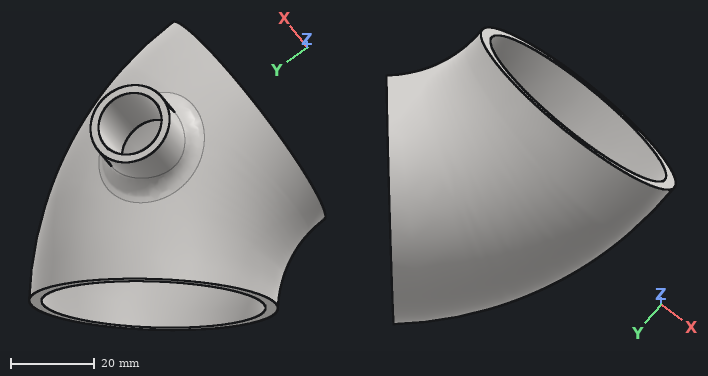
import cadquery as cq
import math

bend_radius = 60.0
bend_angle = 50.0
elbow_radius = 30.0
elbow_wall = 3.0

branch_radius = 10.0
branch_wall = 2.0
branch_reach = 44.5
branch_position = 22.0
branch_tilt = 20.6
blend_radius = 5.0


def bent_rod(radius):
    """Solid round bar following the elbow centreline."""
    return (
        cq.Workplane("XZ")
        .center(bend_radius, 0)
        .circle(radius)
        .revolve(bend_angle, (-bend_radius, 0), (-bend_radius, 1))
    )


def branch_rod(radius):
    """Solid round bar along the branch axis, out to the rim."""
    position = math.radians(branch_position)
    tilt = math.radians(branch_tilt)
    origin = cq.Vector(bend_radius * math.cos(position), bend_radius * math.sin(position), 0)
    direction = cq.Vector(
        math.sin(tilt) * math.cos(position),
        math.sin(tilt) * math.sin(position),
        math.cos(tilt),
    )
    return cq.Workplane(cq.Solid.makeCylinder(radius, branch_reach, origin, direction))


def junction_edge(body):
    """The closed edge where the branch meets the outside of the elbow."""
    def is_junction(edge):
        faces = [face for face in body.faces().vals() if any(e.isSame(edge) for e in face.Edges())]
        return sorted(face.geomType() for face in faces) == ["CYLINDER", "TORUS"]
    return body.newObject([edge for edge in body.edges().vals() if is_junction(edge)])


outside = bent_rod(elbow_radius).union(branch_rod(branch_radius))
outside = junction_edge(outside).fillet(blend_radius)

result = (
    outside
    .cut(bent_rod(elbow_radius - elbow_wall))
    .cut(branch_rod(branch_radius - branch_wall))
)